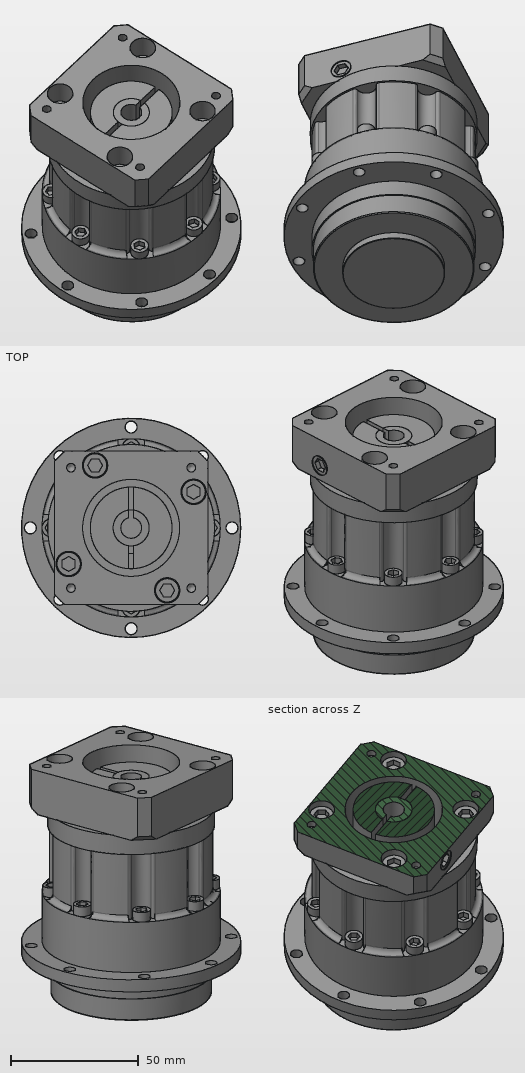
import cadquery as cq
import math


HEIGHT = 99.5
HEX_HALF_ANGLE = math.pi / 6
SCREW_COUNT = 8
SCREW_PITCH_ANGLE = 360.0 / SCREW_COUNT

OUTPUT_HUB_TOP = 3.1
OUTPUT_DISC_TOP = 12.3
FLANGE_BOTTOM = 19.5
FLANGE_TOP = 24.6
SHOULDER_Z = 45.6
GEAR_UNIT_TOP = 73.1

OUTPUT_HUB_R = 20.0
OUTPUT_DISC_R = 31.5
PILOT_R = 32.0
BARREL_R = PILOT_R
FLANGE_R = 43.0
BODY_R = 34.9
OUTPUT_HUB_CHAMFER = 0.2
OUTPUT_DISC_CHAMFER = 0.4

FLANGE_HOLE_R = 2.3
FLANGE_HOLE_CIRCLE_R = 39.5

FLUTE_R = 4.0
FLUTE_EDGE_ROUND = 1.3
BARREL_FILLET_R = 2.6
BARREL_FILLET_WIDTH = 2.5
BARREL_FILLET_HEIGHT = 1.9
SEAT_WIDTH = 10.3
SCREW_HEAD_R = 3.5
SCREW_CIRCLE_R = BODY_R - SCREW_HEAD_R
SCREW_HEAD_HEIGHT = 4.0
SCREW_HEX = 4.0
SCREW_HEX_DEPTH = 2.5

RING_TOP = 81.1
RING_R = 32.7
BLOCK_SIDE = 60.1
BLOCK_CORNER_CHAMFER = 3.9
CORNER_ANGLE = 45.0
BLOCK_UNDER_CHAMFER_HEIGHT = 2.2
ADAPTER_BORE_R = 19.0

MOUNT_HOLE_R = 1.7
MOUNT_HOLE_SPACING = 47.2
MOUNT_HOLE_DEPTH = 9.95
DRILL_POINT_ANGLE = 118.0

BOLT_CIRCLE_R = 28.3
BOLT_FIRST_ANGLE = 30.0
BOLT_COUNT = 4
BOLT_HEAD_R = 4.6
BOLT_HEAD_HEIGHT = 5.0
BOLT_HEX = 5.1
BOLT_HEX_DEPTH = 2.5
COUNTERBORE_R = 5.0
COUNTERBORE_DEPTH = 14.9

PLUG_Y = 11.0
PLUG_Z = 87.6
PLUG_R = 4.1
PLUG_RECESS = 0.4
PLUG_HEX = 5.1
PLUG_HEX_DEPTH = 2.5

HUB_TOP = 93.4
HUB_R = 16.0
BUSHING_R = 7.1
BUSHING_BORE_R = 4.1
BUSHING_LENGTH = 14.9
SLIT_WIDTH = 1.9
HUB_SLIT_DEPTH = 15.9
HUB_SLIT_STEP_R = 10.0


def disc(radius, bottom, top):
    return cq.Workplane("XY").workplane(offset=bottom).circle(radius).extrude(top - bottom)


def polar_points(radius, count):
    """Points evenly spaced on a circle about the gear axis."""
    angles = [math.radians(i * 360.0 / count) for i in range(count)]
    return [(radius * math.cos(a), radius * math.sin(a)) for a in angles]


def socket_screw_head(radius, height, hex_flats, hex_depth):
    """Cylindrical head standing on z = 0, with a hexagon socket that has a corner on +X."""
    across_corners = hex_flats / math.cos(HEX_HALF_ANGLE)
    head = cq.Workplane("XY").circle(radius).extrude(height)
    return head.faces(">Z").workplane().polygon(6, across_corners).cutBlind(-hex_depth)



def output_end():
    """Rotating output disc and its centring hub."""
    hub = disc(OUTPUT_HUB_R, 0.0, OUTPUT_HUB_TOP).faces("<Z").chamfer(OUTPUT_HUB_CHAMFER)
    plate = disc(OUTPUT_DISC_R, OUTPUT_HUB_TOP, OUTPUT_DISC_TOP)
    return hub.union(plate.faces("<Z").chamfer(OUTPUT_DISC_CHAMFER))


def mounting_flange():
    flange = disc(FLANGE_R, FLANGE_BOTTOM, FLANGE_TOP)
    holes = polar_points(FLANGE_HOLE_CIRCLE_R, SCREW_COUNT)
    return flange.faces(">Z").workplane().pushPoints(holes).hole(2 * FLANGE_HOLE_R)


def fluted_barrel():
    """Upper barrel with eight flutes that leave room for the cap screws."""
    barrel = disc(BARREL_R, SHOULDER_Z, GEAR_UNIT_TOP)
    for x, y in polar_points(SCREW_CIRCLE_R, SCREW_COUNT):
        barrel = barrel.cut(disc(FLUTE_R, SHOULDER_Z, GEAR_UNIT_TOP).translate((x, y, 0)))
    return barrel.edges("|Z").fillet(FLUTE_EDGE_ROUND)


def barrel_fillet():
    """Concave fillet from the barrel to the shoulder, interrupted at each screw seat."""
    fillet = (
        cq.Workplane("XZ")
        .moveTo(BARREL_R, SHOULDER_Z)
        .lineTo(BARREL_R + BARREL_FILLET_WIDTH, SHOULDER_Z)
        .radiusArc((BARREL_R, SHOULDER_Z + BARREL_FILLET_HEIGHT), BARREL_FILLET_R)
        .close()
        .revolve(360, (0, 0, 0), (0, 1, 0))
    )
    seat = cq.Workplane("XY").box(BODY_R, SEAT_WIDTH, BARREL_FILLET_HEIGHT, centered=(False, True, False))
    seat = seat.translate((0, 0, SHOULDER_Z))
    for i in range(SCREW_COUNT):
        fillet = fillet.cut(seat.rotate((0, 0, 0), (0, 0, 1), i * SCREW_PITCH_ANGLE))
    return fillet


def cap_screws():
    """Eight cap screw heads standing on the shoulder in the flutes."""
    head = socket_screw_head(SCREW_HEAD_R, SCREW_HEAD_HEIGHT, SCREW_HEX, SCREW_HEX_DEPTH)
    head = head.translate((SCREW_CIRCLE_R, 0, SHOULDER_Z))
    return [head.rotate((0, 0, 0), (0, 0, 1), i * SCREW_PITCH_ANGLE) for i in range(SCREW_COUNT)]


def make_gear_unit():
    unit = output_end()
    unit = unit.union(disc(PILOT_R, OUTPUT_DISC_TOP, FLANGE_BOTTOM))
    unit = unit.union(mounting_flange())
    unit = unit.union(disc(BODY_R, FLANGE_TOP, SHOULDER_Z))
    unit = unit.union(fluted_barrel())
    unit = unit.union(barrel_fillet())
    for screw in cap_screws():
        unit = unit.union(screw)
    return unit



def adapter_block():
    """Square block with chamfered corners, bevelled at 45 degrees below each corner."""
    block = (
        cq.Workplane("XY")
        .workplane(offset=RING_TOP)
        .rect(BLOCK_SIDE, BLOCK_SIDE)
        .extrude(HEIGHT - RING_TOP)
        .edges("|Z")
        .chamfer(BLOCK_CORNER_CHAMFER)
    )
    bevel_top = RING_TOP + BLOCK_UNDER_CHAMFER_HEIGHT
    bevel_side = math.sqrt(2) * (BLOCK_SIDE - BLOCK_CORNER_CHAMFER)
    bevel_foot = bevel_side - 2 * BLOCK_UNDER_CHAMFER_HEIGHT
    bevel = (
        cq.Workplane("XY")
        .workplane(offset=RING_TOP)
        .rect(bevel_foot, bevel_foot)
        .workplane(offset=BLOCK_UNDER_CHAMFER_HEIGHT)
        .rect(bevel_side, bevel_side)
        .loft()
        .rotate((0, 0, 0), (0, 0, 1), CORNER_ANGLE)
    )
    above = cq.Workplane("XY").workplane(offset=bevel_top).rect(2 * BLOCK_SIDE, 2 * BLOCK_SIDE)
    return block.intersect(bevel.union(above.extrude(HEIGHT - bevel_top)))


def mount_hole():
    """Blind motor screw hole from the top face, with a drilled conical end."""
    point_length = MOUNT_HOLE_R / math.tan(math.radians(DRILL_POINT_ANGLE / 2))
    return (
        cq.Workplane("XZ")
        .moveTo(0, HEIGHT)
        .lineTo(MOUNT_HOLE_R, HEIGHT)
        .lineTo(MOUNT_HOLE_R, HEIGHT - MOUNT_HOLE_DEPTH)
        .lineTo(0, HEIGHT - MOUNT_HOLE_DEPTH - point_length)
        .close()
        .revolve(360, (0, 0, 0), (0, 1, 0))
    )


def add_adapter_bolts(adapter):
    """Four counterbores, each with a socket bolt head standing on its floor."""
    floor = HEIGHT - COUNTERBORE_DEPTH
    bore = disc(COUNTERBORE_R, floor, HEIGHT).translate((BOLT_CIRCLE_R, 0, 0))
    head = socket_screw_head(BOLT_HEAD_R, BOLT_HEAD_HEIGHT, BOLT_HEX, BOLT_HEX_DEPTH)
    head = head.translate((BOLT_CIRCLE_R, 0, floor))
    pocket = bore.cut(head)
    for i in range(BOLT_COUNT):
        angle = BOLT_FIRST_ANGLE + i * 360.0 / BOLT_COUNT
        adapter = adapter.cut(pocket.rotate((0, 0, 0), (0, 0, 1), angle))
    return adapter


def plug_recess():
    """Shallow round recess with a hexagon socket, entering from the -X side."""
    face = cq.Workplane("YZ", origin=(-BLOCK_SIDE / 2, PLUG_Y, PLUG_Z))
    across_corners = PLUG_HEX / math.cos(HEX_HALF_ANGLE)
    socket = face.polygon(6, across_corners).extrude(PLUG_HEX_DEPTH)
    return face.circle(PLUG_R).extrude(PLUG_RECESS).union(socket)


def make_motor_adapter():
    adapter = adapter_block().union(disc(RING_R, GEAR_UNIT_TOP, RING_TOP))
    adapter = adapter.cut(disc(ADAPTER_BORE_R, GEAR_UNIT_TOP, HEIGHT))
    for x in (-MOUNT_HOLE_SPACING / 2, MOUNT_HOLE_SPACING / 2):
        for y in (-MOUNT_HOLE_SPACING / 2, MOUNT_HOLE_SPACING / 2):
            adapter = adapter.cut(mount_hole().translate((x, y, 0)))
    adapter = add_adapter_bolts(adapter)
    return adapter.cut(plug_recess())



def slit(y_start, y_end, depth):
    """Narrow slot along Y, cut down from the top of the hub."""
    return (
        cq.Workplane("XY")
        .workplane(offset=HUB_TOP)
        .center(0, (y_start + y_end) / 2)
        .rect(SLIT_WIDTH, y_end - y_start)
        .extrude(-depth)
    )


def make_clamping_hub():
    """Hub slit on both sides, with a blind bore for the bushing."""
    hub = disc(HUB_R, GEAR_UNIT_TOP, HUB_TOP)
    hub = hub.cut(disc(BUSHING_R, HUB_TOP - BUSHING_LENGTH, HUB_TOP))
    past_rim = HUB_R + SLIT_WIDTH
    bore_edge = math.sqrt(BUSHING_R**2 - (SLIT_WIDTH / 2) ** 2)
    hub = hub.cut(slit(bore_edge, past_rim, HUB_SLIT_DEPTH))
    hub = hub.cut(slit(-HUB_SLIT_STEP_R, -bore_edge, BUSHING_LENGTH))
    return hub.cut(slit(-past_rim, -HUB_SLIT_STEP_R, HUB_SLIT_DEPTH))


def make_bushing():
    """Sleeve slit along its whole length on the +Y side."""
    bushing = disc(BUSHING_R, HUB_TOP - BUSHING_LENGTH, HUB_TOP)
    bushing = bushing.cut(disc(BUSHING_BORE_R, HUB_TOP - BUSHING_LENGTH, HUB_TOP))
    return bushing.cut(slit(0, BUSHING_R + SLIT_WIDTH, BUSHING_LENGTH))


gear_unit = make_gear_unit()
motor_adapter = make_motor_adapter()
clamping_hub = make_clamping_hub()
bushing = make_bushing()

result = cq.Compound.makeCompound(
    [gear_unit.val(), motor_adapter.val(), clamping_hub.val(), bushing.val()]
)